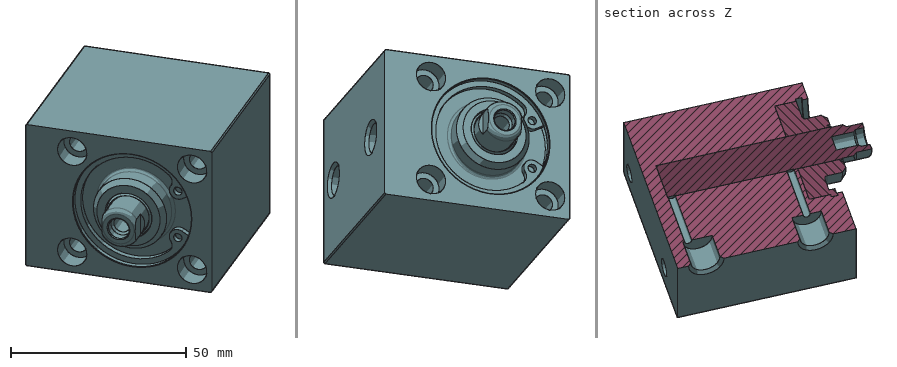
import cadquery as cq
import math


OVERALL_LENGTH = 65.5
BLOCK_WIDTH = 56.0
BLOCK_LENGTH = 53.05
BLOCK_HEIGHT = 45.0
EDGE_CHAMFER = 0.4
AXIS_TO_LEFT_SIDE = 32.0

BOLT_PITCH_X = 36.0
BOLT_PITCH_Z = 32.0
BOLT_HOLE_DIAMETER = 5.3
BOLT_HEAD_DIAMETER = 8.8
BOLT_HEAD_DEPTH = 5.7

PORT_DIAMETER = 8.6
PORT_MOUTH_DIAMETER = 10.5
PORT_DEPTH = 9.0
FRONT_PORT_Y = 12.1
REAR_PORT_Y = 44.55
OIL_HOLE_DIAMETER = 2.0
REAR_OIL_HOLE_SHIFT = 2.8

BORE_DIAMETER = 35.5
BORE_CHAMFER = 0.2
GROOVE_DIAMETER = 37.3
GUIDE_REAR_Y = 9.8

RING_FRONT_Y = 1.7
RING_THICKNESS = 1.8
RING_REAR_Y = RING_FRONT_Y + RING_THICKNESS
RING_INNER_DIAMETER = 32.0
LUG_RADIUS = 2.55
LUG_FILLET = 2.5
LUG_HOLE_DIAMETER = 2.5
LUG_X = 13.15
LUG_Z = 7.4

BOSS_DIAMETER = 22.0
BOSS_PROJECTION = 3.4
BOSS_FRONT_Y = -BOSS_PROJECTION
BOSS_CHAMFER = 1.5
BOSS_FILLET = 0.85
WIPER_MOUTH_DIAMETER = 14.0
WIPER_GROOVE_DIAMETER = 13.7
WIPER_LIP_DIAMETER = 12.5
WIPER_GROOVE_DEPTH = 1.0
WIPER_LIP_BEVEL_DEPTH = 0.5

ROD_DIAMETER = 12.0
ROD_TIP_Y = BLOCK_LENGTH - OVERALL_LENGTH
ROD_REAR_Y = 48.5
ROD_TIP_FILLET = 1.3
FLAT_WIDTH = 10.0
FLAT_LENGTH = 4.65
SOCKET_MOUTH_DIAMETER = 6.8
SOCKET_DIAMETER = 6.2
SOCKET_LENGTH = 2.6
SOCKET_CORE_DIAMETER = 4.9
SOCKET_DEPTH = 9.8


def cylinder_along_y(diameter, front_y, rear_y, x=0, z=0):
    """Cylinder parallel to the rod axis, between two Y positions."""
    return cq.Workplane("XZ", origin=(x, front_y, z)).circle(diameter / 2).extrude(front_y - rear_y)


def turned_about_y(profile):
    """Turn a closed (radius, Y) profile about the rod axis."""
    return profile.close().revolve(360, (0, 0, 0), (0, 1, 0))


def make_block():
    block = cq.Workplane("XY").box(BLOCK_WIDTH, BLOCK_LENGTH, BLOCK_HEIGHT)
    block = block.edges("|Y").chamfer(EDGE_CHAMFER)
    return block.translate((BLOCK_WIDTH / 2 - AXIS_TO_LEFT_SIDE, BLOCK_LENGTH / 2, 0))


def make_bolt_hole(x, z):
    shank = cylinder_along_y(BOLT_HOLE_DIAMETER, 0, BLOCK_LENGTH, x, z)
    head = cylinder_along_y(BOLT_HEAD_DIAMETER, 0, BOLT_HEAD_DEPTH, x, z)
    return shank.union(head)


def make_port(port_y, oil_hole_shift):
    """Port with a 45 degree mouth, and an oil hole from its floor to the rod axis."""
    radius = PORT_DIAMETER / 2
    mouth_radius = PORT_MOUTH_DIAMETER / 2
    port = (
        cq.Workplane("XY")
        .polyline([
            (0, 0),
            (0, mouth_radius),
            (mouth_radius - radius, radius),
            (PORT_DEPTH, radius),
            (PORT_DEPTH, 0),
        ])
        .close()
        .revolve(360, (0, 0, 0), (1, 0, 0))
        .translate((-AXIS_TO_LEFT_SIDE, port_y, 0))
    )
    oil_hole = (
        cq.Workplane("YZ", origin=(-AXIS_TO_LEFT_SIDE, port_y + oil_hole_shift, 0))
        .circle(OIL_HOLE_DIAMETER / 2)
        .extrude(AXIS_TO_LEFT_SIDE)
    )
    return port.union(oil_hole)


def make_guide_bore():
    radius = BORE_DIAMETER / 2
    bore = turned_about_y(
        cq.Workplane("XY").polyline([
            (0, 0),
            (radius + BORE_CHAMFER, 0),
            (radius, BORE_CHAMFER),
            (radius, GUIDE_REAR_Y),
            (0, GUIDE_REAR_Y),
        ])
    )
    return bore.union(cylinder_along_y(GROOVE_DIAMETER, RING_FRONT_Y, RING_REAR_Y))


def make_housing():
    housing = make_block()
    for x in (-BOLT_PITCH_X / 2, BOLT_PITCH_X / 2):
        for z in (-BOLT_PITCH_Z / 2, BOLT_PITCH_Z / 2):
            housing = housing.cut(make_bolt_hole(x, z))
    housing = housing.cut(make_port(FRONT_PORT_Y, 0))
    housing = housing.cut(make_port(REAR_PORT_Y, REAR_OIL_HOLE_SHIFT))
    housing = housing.cut(make_guide_bore())
    return housing.cut(cylinder_along_y(ROD_DIAMETER, 0, ROD_REAR_Y))


def make_guide_core():
    """Disc in the bore with the boss on its front, turned in one piece around the rod."""
    bore_radius = BORE_DIAMETER / 2
    boss_radius = BOSS_DIAMETER / 2
    rod_radius = ROD_DIAMETER / 2
    arc_inset = BOSS_FILLET * (1 - math.sqrt(0.5))
    profile = (
        cq.Workplane("XY")
        .moveTo(rod_radius, GUIDE_REAR_Y)
        .lineTo(bore_radius, GUIDE_REAR_Y)
        .lineTo(bore_radius, RING_REAR_Y)
        .lineTo(boss_radius + BOSS_FILLET, RING_REAR_Y)
        .threePointArc(
            (boss_radius + arc_inset, RING_REAR_Y - arc_inset),
            (boss_radius, RING_REAR_Y - BOSS_FILLET),
        )
        .lineTo(boss_radius, BOSS_FRONT_Y + BOSS_CHAMFER)
        .lineTo(boss_radius - BOSS_CHAMFER, BOSS_FRONT_Y)
        .lineTo(WIPER_MOUTH_DIAMETER / 2, BOSS_FRONT_Y)
        .lineTo(WIPER_GROOVE_DIAMETER / 2, BOSS_FRONT_Y + WIPER_GROOVE_DEPTH)
        .lineTo(WIPER_LIP_DIAMETER / 2, BOSS_FRONT_Y)
        .lineTo(rod_radius, BOSS_FRONT_Y + WIPER_LIP_BEVEL_DEPTH)
    )
    return turned_about_y(profile)


def make_ring():
    """Open ring with a drilled lug at each end; the opening faces +X."""
    outer_radius = GROOVE_DIAMETER / 2
    inner_radius = RING_INNER_DIAMETER / 2
    lug_distance = math.hypot(LUG_X, LUG_Z)
    lug_angle = math.atan2(LUG_Z, LUG_X)

    along = (LUG_X / lug_distance, LUG_Z / lug_distance)
    edge_offset = (along[1] * LUG_RADIUS, -along[0] * LUG_RADIUS)
    edge_reach = math.sqrt(outer_radius**2 - LUG_RADIUS**2)
    edge_outer = (along[0] * edge_reach + edge_offset[0], along[1] * edge_reach + edge_offset[1])
    edge_inner = (LUG_X + edge_offset[0], LUG_Z + edge_offset[1])
    lug_nose = (LUG_X - along[0] * LUG_RADIUS, LUG_Z - along[1] * LUG_RADIUS)

    fillet_distance = inner_radius - LUG_FILLET
    center_gap = LUG_RADIUS + LUG_FILLET
    fillet_angle = lug_angle + math.acos(
        (fillet_distance**2 + lug_distance**2 - center_gap**2) / (2 * fillet_distance * lug_distance)
    )
    fillet_x = fillet_distance * math.cos(fillet_angle)
    fillet_z = fillet_distance * math.sin(fillet_angle)
    lug_share = LUG_RADIUS / center_gap
    fillet_start = (LUG_X + (fillet_x - LUG_X) * lug_share, LUG_Z + (fillet_z - LUG_Z) * lug_share)
    fillet_middle = (fillet_x + LUG_FILLET, fillet_z)
    fillet_end = (inner_radius * math.cos(fillet_angle), inner_radius * math.sin(fillet_angle))

    def mirrored(point):
        return (point[0], -point[1])

    ring = (
        cq.Workplane("XZ", origin=(0, RING_FRONT_Y, 0))
        .moveTo(*edge_outer)
        .lineTo(*edge_inner)
        .threePointArc(lug_nose, fillet_start)
        .threePointArc(fillet_middle, fillet_end)
        .threePointArc((-inner_radius, 0), mirrored(fillet_end))
        .threePointArc(mirrored(fillet_middle), mirrored(fillet_start))
        .threePointArc(mirrored(lug_nose), mirrored(edge_inner))
        .lineTo(*mirrored(edge_outer))
        .threePointArc((-outer_radius, 0), edge_outer)
        .close()
        .extrude(-RING_THICKNESS)
    )
    for lug_z in (-LUG_Z, LUG_Z):
        ring = ring.cut(cylinder_along_y(LUG_HOLE_DIAMETER, RING_FRONT_Y, RING_REAR_Y, LUG_X, lug_z))
    return ring


def make_guide():
    return make_guide_core().union(make_ring())


def make_flat_cutter(side):
    """Material beside one wrench flat, with a 45 degree run-out at its rear end."""
    flat_x = FLAT_WIDTH / 2
    outer_x = ROD_DIAMETER / 2
    flat_rear_y = ROD_TIP_Y + FLAT_LENGTH
    return (
        cq.Workplane("XY")
        .polyline([
            (side * flat_x, ROD_TIP_Y),
            (side * flat_x, flat_rear_y),
            (side * outer_x, flat_rear_y + outer_x - flat_x),
            (side * outer_x, ROD_TIP_Y),
        ])
        .close()
        .extrude(ROD_DIAMETER / 2, both=True)
    )


def make_socket():
    mouth_radius = SOCKET_MOUTH_DIAMETER / 2
    radius = SOCKET_DIAMETER / 2
    core_radius = SOCKET_CORE_DIAMETER / 2
    step_y = ROD_TIP_Y + SOCKET_LENGTH
    floor_y = ROD_TIP_Y + SOCKET_DEPTH
    return turned_about_y(
        cq.Workplane("XY").polyline([
            (0, ROD_TIP_Y),
            (mouth_radius, ROD_TIP_Y),
            (radius, ROD_TIP_Y + mouth_radius - radius),
            (radius, step_y),
            (core_radius, step_y + radius - core_radius),
            (core_radius, floor_y),
            (0, floor_y),
        ])
    )


def make_rod():
    rod = cylinder_along_y(ROD_DIAMETER, ROD_TIP_Y, ROD_REAR_Y)
    rod = rod.faces("<Y").edges().fillet(ROD_TIP_FILLET)
    for side in (-1, 1):
        rod = rod.cut(make_flat_cutter(side))
    return rod.cut(make_socket())


housing = make_housing()
guide = make_guide()
rod = make_rod()

result = cq.Compound.makeCompound([body.solids().val() for body in (housing, guide, rod)])